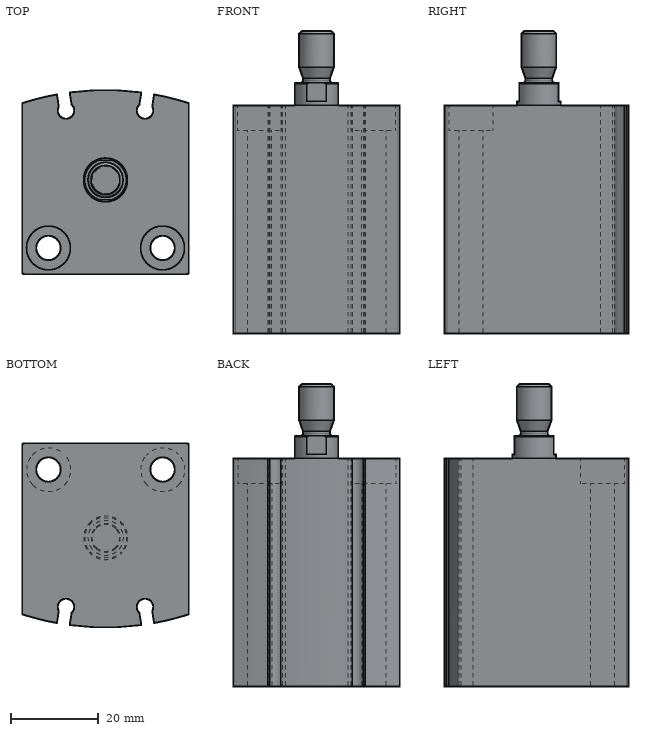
import cadquery as cq
import math

housing_width = 38.0
housing_height = 52.0
front_distance = 21.5
back_distance = 20.5
crown_rise = 3.0
front_edge_radius = 0.5
back_edge_radius = 0.25

mount_spacing = 26.0
mount_y = -15.5
mount_diameter = 5.5
counterbore_diameter = 10.0
counterbore_depth = 5.7

slot_x = 9.0
slot_y = 15.8
slot_diameter = 3.7
slot_mouth_width = 2.9
slot_mouth_length = 8.0
slot_tilt = 9.0

rod_height = 17.0
collar_diameter = 10.0
collar_height = 5.2
collar_chamfer = 0.25
neck_diameter = 6.2
neck_fillet = 0.4
neck_top = 6.2
thread_diameter = 8.0
thread_start = 8.75
thread_chamfer = 0.7
flat_across = 9.0
flat_start = 0.9


def make_block():
    half_width = housing_width / 2
    side_top = back_distance - crown_rise
    block = (
        cq.Workplane("XY")
        .moveTo(-half_width, -front_distance)
        .lineTo(half_width, -front_distance)
        .lineTo(half_width, side_top)
        .threePointArc((0, back_distance), (-half_width, side_top))
        .close()
        .extrude(housing_height)
    )
    block = block.edges("|Z").edges(">Y").fillet(back_edge_radius)
    return block.edges("|Z").edges("<Y").fillet(front_edge_radius)


def make_slot(side):
    """Full-height sensor slot: a round bottom with a narrower tilted mouth."""
    bottom = cq.Workplane("XY").circle(slot_diameter / 2).extrude(housing_height)
    mouth = (
        cq.Workplane("XY")
        .center(0, slot_mouth_length / 2)
        .rect(slot_mouth_width, slot_mouth_length)
        .extrude(housing_height)
        .rotate((0, 0, 0), (0, 0, 1), -side * slot_tilt)
    )
    return bottom.union(mouth).translate((side * slot_x, slot_y, 0))


def make_housing():
    body = (
        make_block()
        .faces(">Z")
        .workplane(origin=(0, 0, housing_height))
        .pushPoints([(-mount_spacing / 2, mount_y), (mount_spacing / 2, mount_y)])
        .cboreHole(mount_diameter, counterbore_diameter, counterbore_depth)
    )
    for side in (-1, 1):
        body = body.cut(make_slot(side))
    return body


def make_wrench_flat(side):
    """Material removed from one side of the collar to leave a wrench flat."""
    cutter = (
        cq.Workplane("XY")
        .rect(collar_diameter, collar_diameter)
        .extrude(collar_height - flat_start)
    )
    return cutter.translate((0, side * (flat_across + collar_diameter) / 2, flat_start))


def make_rod():
    """Turned rod: collar, filleted neck, taper and chamfered thread end."""
    collar_radius = collar_diameter / 2
    neck_radius = neck_diameter / 2
    thread_radius = thread_diameter / 2
    arc_offset = neck_fillet * (1 - math.sqrt(0.5))
    rod = (
        cq.Workplane("XZ")
        .lineTo(collar_radius, 0)
        .lineTo(collar_radius, collar_height - collar_chamfer)
        .lineTo(collar_radius - collar_chamfer, collar_height)
        .lineTo(neck_radius + neck_fillet, collar_height)
        .threePointArc(
            (neck_radius + arc_offset, collar_height + arc_offset),
            (neck_radius, collar_height + neck_fillet),
        )
        .lineTo(neck_radius, neck_top)
        .lineTo(thread_radius, thread_start)
        .lineTo(thread_radius, rod_height - thread_chamfer)
        .lineTo(thread_radius - thread_chamfer, rod_height)
        .lineTo(0, rod_height)
        .close()
        .revolve(360, (0, 0, 0), (0, 1, 0))
    )
    for side in (-1, 1):
        rod = rod.cut(make_wrench_flat(side))
    return rod.translate((0, 0, housing_height))


housing = make_housing()
rod = make_rod()

result = cq.Compound.makeCompound([housing.val(), rod.val()])